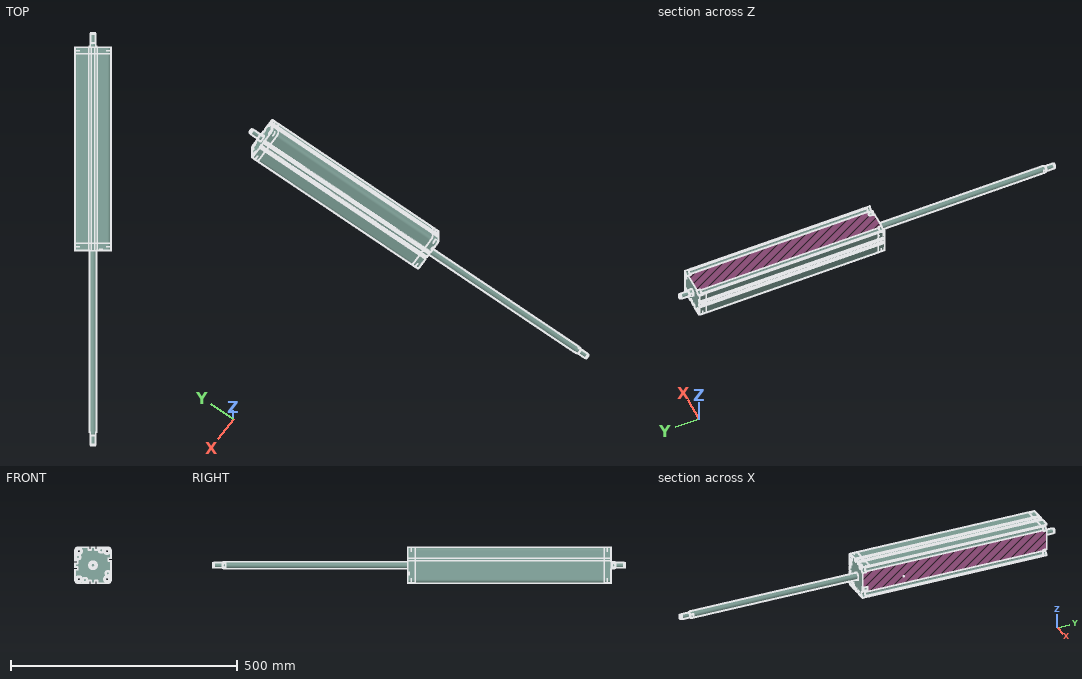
import cadquery as cq

WIDTH = 80.0
BODY_LENGTH = 450.0
CORNER_RADIUS = 8.0
HALF_WIDTH = WIDTH / 2

CAP_INSET = 0.1
FRONT_CAP_LENGTH = 16.5
REAR_CAP_LENGTH = 15.0

SLOT_WIDTH = 5.5
SLOT_DEPTH = 6.0
PAIRED_SLOT_OFFSET = 6.9
SINGLE_SLOT_OFFSET = 12.4

MOUNT_OFFSET = 31.0
MOUNT_BORE = 8.38
COUNTERBORE_DIAMETER = 13.5
COUNTERBORE_DEPTH = 8.0

PORT_ALONG_SIDE = 18.0
PORT_FROM_AXIS = 33.0
PORT_RECESS_DIAMETER = 11.1
PORT_RECESS_DEPTH = 3.0
PORT_DRILL_DIAMETER = 8.57
PORT_DRILL_DEPTH = 12.0

ROD_DIAMETER = 16.0
ROD_STROKE = 400.0
ROD_PROTRUSION = 31.5
GUIDE_RECESS_DIAMETER = 18.0
GUIDE_RECESS_DEPTH = 3.0
THREAD_DIAMETER = 12.0
TIP_DIAMETER = 10.0
TIP_CHAMFER_LENGTH = 3.0
UNDERCUT_DIAMETER = 10.5
UNDERCUT_LENGTH = 1.0
NECK_LENGTH = 22.5
SHOULDER_DIAMETER = 13.5
SHOULDER_TAPER_LENGTH = 4.0
FLAT_TO_FLAT = 13.0
FLAT_LENGTH = 7.0

ROD_FRONT_TIP = -(ROD_STROKE + ROD_PROTRUSION)
ROD_REAR_TIP = BODY_LENGTH + ROD_PROTRUSION


def cylinder(diameter, y_start, length, x=0.0, z=0.0):
    """Cylinder along +Y from y_start, centred on (x, z)."""
    solid = cq.Solid.makeCylinder(diameter / 2, length, cq.Vector(x, y_start, z), cq.Vector(0, 1, 0))
    return cq.Workplane(obj=solid)


def sensor_slot(side_angle, offset, inset, y_start, length):
    """Slot in the +X side at height z = offset, turned about Y by side_angle."""
    depth = SLOT_DEPTH + inset
    slot = cq.Workplane("XY").box(depth, length, SLOT_WIDTH + 2 * inset)
    slot = slot.translate((HALF_WIDTH - depth / 2, y_start + length / 2, offset))
    return slot.rotate((0, 0, 0), (0, 1, 0), side_angle)


def slotted_bar(inset, y_start, length):
    """Square bar along Y with rounded long edges, every surface set in from the full profile."""
    width = WIDTH - 2 * inset
    bar = cq.Workplane("XY").box(width, length, width).translate((0, y_start + length / 2, 0))
    bar = bar.edges("|Y").fillet(CORNER_RADIUS - inset)
    bar = bar.cut(sensor_slot(0, SINGLE_SLOT_OFFSET, inset, y_start, length))
    for side_angle in (90, 180, 270):
        for offset in (-PAIRED_SLOT_OFFSET, PAIRED_SLOT_OFFSET):
            bar = bar.cut(sensor_slot(side_angle, offset, inset, y_start, length))
    return bar


def make_blank():
    rear_cap_start = BODY_LENGTH - REAR_CAP_LENGTH
    front_cap = slotted_bar(CAP_INSET, 0, FRONT_CAP_LENGTH)
    barrel = slotted_bar(0, FRONT_CAP_LENGTH, rear_cap_start - FRONT_CAP_LENGTH)
    rear_cap = slotted_bar(CAP_INSET, rear_cap_start, REAR_CAP_LENGTH)
    return front_cap.union(barrel).union(rear_cap)


def cut_mounting_holes(body):
    for x in (-MOUNT_OFFSET, MOUNT_OFFSET):
        for z in (-MOUNT_OFFSET, MOUNT_OFFSET):
            body = body.cut(cylinder(MOUNT_BORE, 0, BODY_LENGTH, x, z))
            for y_start in (0, BODY_LENGTH - COUNTERBORE_DEPTH):
                body = body.cut(cylinder(COUNTERBORE_DIAMETER, y_start, COUNTERBORE_DEPTH, x, z))
    return body


def cut_front_ports(body):
    """Four stepped holes, each a quarter turn about the axis from the last."""
    recess = cylinder(PORT_RECESS_DIAMETER, 0, PORT_RECESS_DEPTH, PORT_ALONG_SIDE, PORT_FROM_AXIS)
    drill = cylinder(PORT_DRILL_DIAMETER, 0, PORT_DRILL_DEPTH, PORT_ALONG_SIDE, PORT_FROM_AXIS)
    port = recess.union(drill)
    for quarter_turn in range(4):
        body = body.cut(port.rotate((0, 0, 0), (0, 1, 0), 90 * quarter_turn))
    return body


def make_rod():
    """Rod turned from one half profile, with wrench flats on its +X and -X sides."""
    tip_radius = TIP_DIAMETER / 2
    thread_radius = THREAD_DIAMETER / 2
    undercut_radius = UNDERCUT_DIAMETER / 2
    undercut_start = NECK_LENGTH - UNDERCUT_LENGTH
    end_profile = [
        (0, 0),
        (tip_radius, 0),
        (thread_radius, TIP_CHAMFER_LENGTH),
        (thread_radius, undercut_start),
        (undercut_radius, undercut_start),
        (undercut_radius, NECK_LENGTH),
        (SHOULDER_DIAMETER / 2, NECK_LENGTH),
        (ROD_DIAMETER / 2, NECK_LENGTH + SHOULDER_TAPER_LENGTH),
    ]
    front_end = [(radius, ROD_FRONT_TIP + depth) for radius, depth in end_profile]
    rear_end = [(radius, ROD_REAR_TIP - depth) for radius, depth in reversed(end_profile)]
    rod = cq.Workplane("XY").polyline(front_end + rear_end).close()
    rod = rod.revolve(360, (0, 0, 0), (0, 1, 0))

    flat_centre = NECK_LENGTH + FLAT_LENGTH / 2
    cutter_x = (FLAT_TO_FLAT + ROD_DIAMETER) / 2
    for y in (ROD_FRONT_TIP + flat_centre, ROD_REAR_TIP - flat_centre):
        for x in (-cutter_x, cutter_x):
            cutter = cq.Workplane("XY").box(ROD_DIAMETER, FLAT_LENGTH, ROD_DIAMETER)
            rod = rod.cut(cutter.translate((x, y, 0)))
    return rod


body = cut_front_ports(cut_mounting_holes(make_blank()))
body = body.cut(cylinder(GUIDE_RECESS_DIAMETER, 0, GUIDE_RECESS_DEPTH))
result = body.union(make_rod())